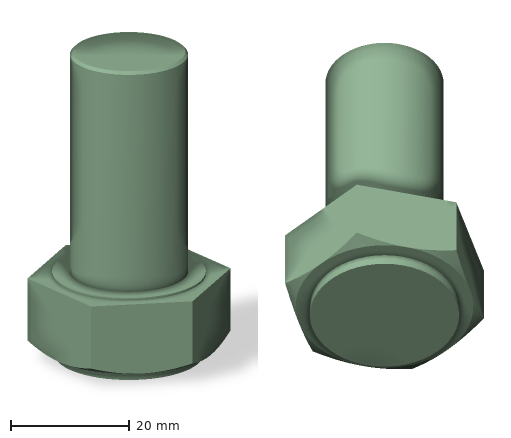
import cadquery as cq
import math

total_height = 54.5
shank_diameter = 20.0
shank_tip_chamfer = 0.5

across_corners = 34.65
across_flats = across_corners * math.cos(math.radians(30))
head_height = 12.55
head_chamfer_angle = 30.0

boss_diameter = 25.2
boss_height = 2.0
washer_diameter = 26.0
washer_height = 0.4

head_top = boss_height + head_height


def cylinder(diameter, bottom, top):
    """Vertical cylinder on the Z axis between two heights."""
    return cq.Workplane("XY").workplane(offset=bottom).circle(diameter / 2).extrude(top - bottom)


def make_head():
    """Hexagon with two flats facing X, its lower corners trimmed by a cone."""
    hexagon = (
        cq.Workplane("XY")
        .workplane(offset=boss_height)
        .polygon(6, across_corners)
        .extrude(head_height)
        .rotate((0, 0, 0), (0, 0, 1), 30)
    )
    flat_radius = across_flats / 2
    envelope_radius = across_corners
    cone_rise = (envelope_radius - flat_radius) * math.tan(math.radians(head_chamfer_angle))
    envelope = (
        cq.Workplane("XZ")
        .moveTo(0, boss_height)
        .lineTo(flat_radius, boss_height)
        .lineTo(envelope_radius, boss_height + cone_rise)
        .lineTo(envelope_radius, head_top)
        .lineTo(0, head_top)
        .close()
        .revolve(360, (0, 0, 0), (0, 1, 0))
    )
    return hexagon.intersect(envelope)


def make_shank():
    """Plain shank with a small chamfer around its tip."""
    return cylinder(shank_diameter, head_top, total_height).faces(">Z").chamfer(shank_tip_chamfer)


boss = cylinder(boss_diameter, 0, boss_height)
washer_face = cylinder(washer_diameter, head_top, head_top + washer_height)

result = make_head().union(boss).union(washer_face).union(make_shank())